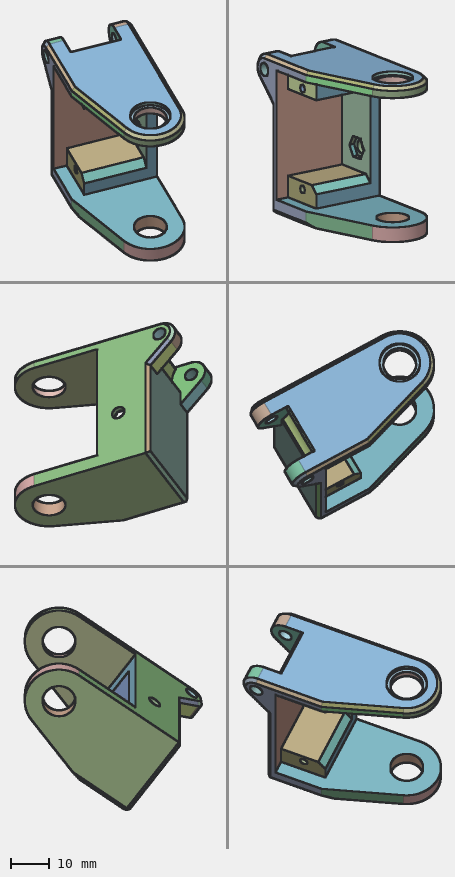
import cadquery as cq
import math

length = 48.95
width = 24.0
height = 42.0
edge_chamfer = 1.0
overlap = 0.5

ear_radius = 4.0
ear_width = 5.0
ear_root_x = 8.95
pin_diameter = 3.5
pin_x = ear_radius
pin_z = height - ear_radius

end_wall_x = 7.05
end_wall_thickness = 2.4
inner_x = end_wall_x + end_wall_thickness
side_wall_end_x = 22.0
side_wall_thickness = 3.0
top_arm_thickness = 3.0
bottom_arm_thickness = 4.0
top_arm_z = height - top_arm_thickness
arm_radius = 8.9
arm_x = length - arm_radius
arm_y = width - arm_radius
taper_start_x = 22.5
arm_bore = 8.5
bore_recess = 10.5
bore_recess_depth = 1.0

block_front_y = 3.65
top_block_z = 33.4
bottom_block_z = 9.9
block_corner = 2.0
screw_diameter = 2.0
screw_depth = 9.8
screw_x = 15.85
screw_heights = (7.75, 35.05)
nut_hole_z = 16.0
nut_hole = 3.5
nut_across_corners = 6.35
nut_depth = 1.45

groove_radius = 5.5
groove_upper_lip_z = 41.35
groove_lower_lip_z = 33.65
groove_lower_edge_z = 33.15


def plan_outline():
    """Plan of the arms: straight rear, round tip and tapered front."""
    to_start_x = taper_start_x - arm_x
    to_start_y = -arm_y
    distance = math.hypot(to_start_x, to_start_y)
    tangent_angle = math.atan2(to_start_y, to_start_x) + math.acos(arm_radius / distance)
    tangent_x = arm_x + arm_radius * math.cos(tangent_angle)
    tangent_y = arm_y + arm_radius * math.sin(tangent_angle)
    return (
        cq.Workplane("XY")
        .moveTo(end_wall_x, 0)
        .lineTo(taper_start_x, 0)
        .lineTo(tangent_x, tangent_y)
        .threePointArc((length, arm_y), (arm_x, width))
        .lineTo(end_wall_x, width)
        .close()
    )


def side_prism(points, front_y, back_y):
    """Extrude an XZ outline between two Y positions."""
    return (
        cq.Workplane("XZ", origin=(0, front_y, 0))
        .polyline(points)
        .close()
        .extrude(front_y - back_y)
    )


def cylinder_y(x, z, diameter, front_y, back_y):
    return (
        cq.Workplane("XZ", origin=(x, front_y, z))
        .circle(diameter / 2)
        .extrude(front_y - back_y)
    )


def box_between(low, high):
    sizes = [end - start for start, end in zip(low, high)]
    return cq.Workplane("XY").box(*sizes, centered=False).translate(low)


def shell():
    """Chamfered bracket blank, opened between the two arms."""
    blank = plan_outline().extrude(height)
    blank = blank.faces("<X or >Z").edges().chamfer(edge_chamfer)

    bevel = (
        cq.Workplane("YZ")
        .polyline([(0, 0), (edge_chamfer, 0), (0, edge_chamfer)])
        .close()
        .extrude(length)
    )
    opening = box_between(
        (inner_x, -overlap, bottom_arm_thickness),
        (length + overlap, width + overlap, top_arm_z),
    )
    return blank.cut(bevel).cut(opening)


def side_wall():
    return box_between(
        (end_wall_x + edge_chamfer, width - side_wall_thickness, bottom_arm_thickness / 2),
        (side_wall_end_x, width, top_arm_z + top_arm_thickness / 2),
    )


def screw_blocks():
    back_y = width - side_wall_thickness / 2
    start_x = end_wall_x + end_wall_thickness / 2
    top_block = box_between(
        (start_x, block_front_y, top_block_z),
        (side_wall_end_x, back_y, top_arm_z),
    )
    bottom_points = [
        (start_x, bottom_arm_thickness),
        (side_wall_end_x, bottom_arm_thickness),
        (side_wall_end_x, bottom_block_z - block_corner),
        (side_wall_end_x - block_corner, bottom_block_z),
        (start_x, bottom_block_z),
    ]
    return top_block.union(side_prism(bottom_points, block_front_y, back_y))


def ears():
    """Round-nosed ears with their outer edges chamfered."""
    diagonal = ear_radius * math.sqrt(0.5)
    tangent_x = pin_x - diagonal
    tangent_z = pin_z - diagonal
    full_width = (
        cq.Workplane("XZ")
        .moveTo(pin_x, height)
        .threePointArc((0, pin_z), (tangent_x, tangent_z))
        .lineTo(ear_root_x, tangent_z - (ear_root_x - tangent_x))
        .lineTo(ear_root_x, height)
        .close()
        .extrude(-width)
    )
    full_width = full_width.faces("<Y or >Y").edges("not >X").chamfer(edge_chamfer)
    gap = box_between(
        (-overlap, ear_width, 0),
        (ear_root_x + overlap, width - ear_width, height + overlap),
    )
    return full_width.cut(gap)


def groove():
    """Round clearance about the pin axis, with sloping upper and lower lips."""
    upper_x = pin_x + math.sqrt(groove_radius**2 - (groove_upper_lip_z - pin_z) ** 2)
    lower_x = pin_x + math.sqrt(groove_radius**2 - (groove_lower_lip_z - pin_z) ** 2)
    return (
        cq.Workplane("XZ", origin=(0, ear_width, 0))
        .moveTo(0, groove_lower_edge_z)
        .lineTo(end_wall_x, groove_lower_edge_z)
        .lineTo(lower_x, groove_lower_lip_z)
        .threePointArc((pin_x + groove_radius, pin_z), (upper_x, groove_upper_lip_z))
        .lineTo(ear_root_x, height)
        .lineTo(0, height)
        .close()
        .extrude(2 * ear_width - width)
    )


def arm_bores():
    bore = cq.Workplane("XY").center(arm_x, arm_y).circle(arm_bore / 2).extrude(height)
    recess = (
        cq.Workplane("XY", origin=(arm_x, arm_y, height))
        .circle(bore_recess / 2)
        .extrude(-bore_recess_depth)
    )
    return bore.union(recess)


def nut_seat():
    wall_front_y = width - side_wall_thickness
    seat = (
        cq.Workplane("XZ", origin=(screw_x, wall_front_y, nut_hole_z))
        .polygon(6, nut_across_corners)
        .extrude(-nut_depth)
    )
    return seat.union(cylinder_y(screw_x, nut_hole_z, nut_hole, wall_front_y, width))


result = shell().union(side_wall()).union(screw_blocks()).cut(groove()).union(ears())
result = result.cut(cylinder_y(pin_x, pin_z, pin_diameter, 0, width))
result = result.cut(arm_bores()).cut(nut_seat())
for screw_z in screw_heights:
    result = result.cut(
        cylinder_y(screw_x, screw_z, screw_diameter, block_front_y, block_front_y + screw_depth)
    )